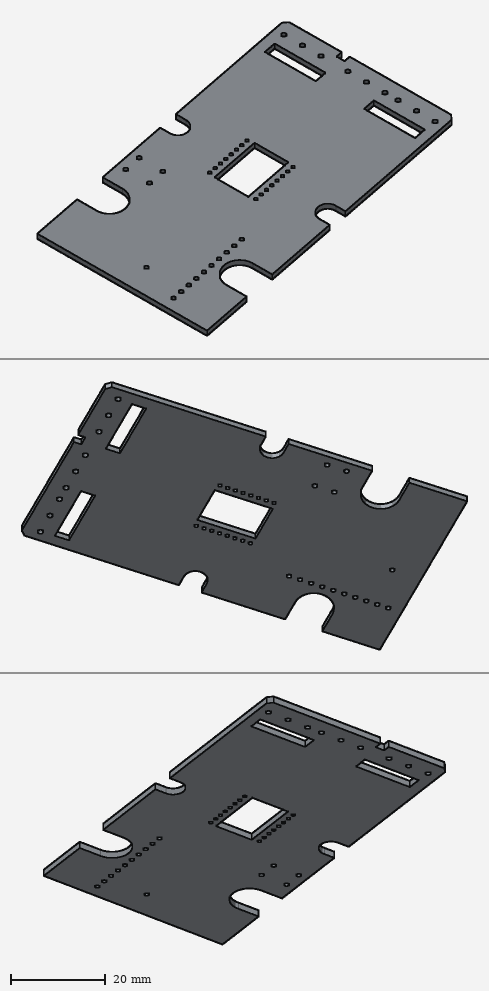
import cadquery as cq

width = 46.2
length = 83.0
thickness = 1.6
half_width = width / 2
half_length = length / 2
corner_chamfer = 1.1
end_edge_rise = 0.075

key_x = -6.6
key_width = 2.15
key_depth = 1.75

small_notch_y = 2.2
small_notch_width = 5.2
small_notch_depth = 5.3
large_notch_y = -23.9
large_notch_width = 8.55
large_notch_depth = 9.6

slot_x = 13.5
slot_center_x = 0.125
slot_y = 32.85
slot_length = 13.85
slot_width = 3.2
window_x = -0.2
window_y = 2.0
window_width = 9.2
window_length = 13.35

edge_hole_diameter = 1.2
edge_hole_y = 37.75
edge_hole_pitch = 5.1
edge_group_centers = (-15.4, 2.0, 15.7)
edge_holes_per_group = 3

chip_hole_diameter = 0.8
chip_row_spacing = 12.5
chip_row_length = 12.45
chip_holes_per_row = 8
chip_hole_pitch = chip_row_length / (chip_holes_per_row - 1)

switch_hole_diameter = 1.1
switch_x = -17.6
switch_y = -12.45
switch_spacing_x = 6.5
switch_spacing_y = 4.5

header_hole_diameter = 1.0
header_x = 11.45
header_y = -26.9
header_span = 22.8
header_hole_count = 10
header_pitch = header_span / (header_hole_count - 1)

single_hole_diameter = 1.0
single_hole_x = 1.2
single_hole_y = -34.8


def box_cutter(size_x, size_y, x, y):
    return cq.Workplane("XY").box(size_x, size_y, 2 * thickness).translate((x, y, 0))


def side_notch(side, y, notch_width, depth):
    """Notch open at the +X (side=1) or -X (side=-1) edge with a semicircular inner end."""
    slot_overall = 2 * depth
    slot = cq.Workplane("XY").slot2D(slot_overall, notch_width)
    return slot.extrude(thickness, both=True).translate((side * half_width, y, 0))


def grid_holes(diameter, x, y, pitch_x, pitch_y, count_x, count_y):
    """Through-hole cutters in a rectangular grid centered on (x, y)."""
    grid = cq.Workplane("XY").center(x, y).rarray(pitch_x, pitch_y, count_x, count_y)
    return grid.circle(diameter / 2).extrude(thickness, both=True)


blank_corners = [
    (-half_width, -half_length),
    (half_width, -half_length + end_edge_rise),
    (half_width, half_length - corner_chamfer),
    (half_width - corner_chamfer, half_length),
    (corner_chamfer - half_width, half_length - end_edge_rise),
    (-half_width, half_length - end_edge_rise - corner_chamfer),
]
board = cq.Workplane("XY").polyline(blank_corners).close().extrude(thickness / 2, both=True)

board = board.cut(box_cutter(key_width, 2 * key_depth, key_x, half_length))
board = board.cut(box_cutter(window_width, window_length, window_x, window_y))

for side in (-1, 1):
    board = board.cut(side_notch(side, small_notch_y, small_notch_width, small_notch_depth))
    board = board.cut(side_notch(side, large_notch_y, large_notch_width, large_notch_depth))
    board = board.cut(box_cutter(slot_length, slot_width, slot_center_x + side * slot_x, slot_y))

for group_x in edge_group_centers:
    board = board.cut(
        grid_holes(edge_hole_diameter, group_x, edge_hole_y, edge_hole_pitch, 0.8, edge_holes_per_group, 1)
    )

board = board.cut(
    grid_holes(chip_hole_diameter, window_x, window_y, chip_row_spacing, chip_hole_pitch, 2, chip_holes_per_row)
)

board = board.cut(
    grid_holes(switch_hole_diameter, switch_x, switch_y, switch_spacing_x, switch_spacing_y, 2, 2)
)
board = board.cut(
    grid_holes(header_hole_diameter, header_x, header_y, 0.8, header_pitch, 1, header_hole_count)
)
board = board.cut(grid_holes(single_hole_diameter, single_hole_x, single_hole_y, 0.8, 0.8, 1, 1))

result = board